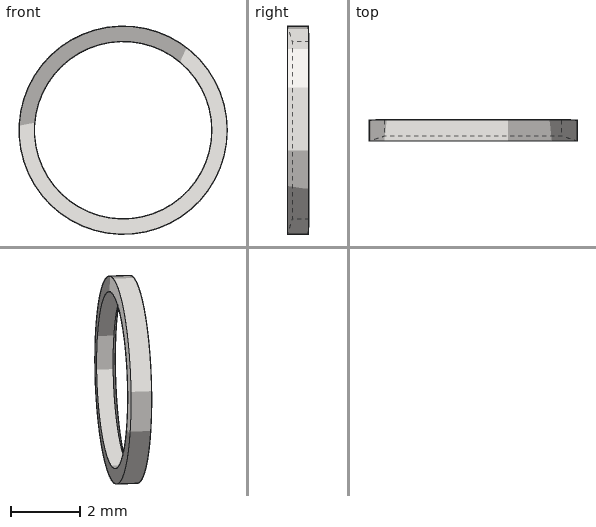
import cadquery as cq

outer_diameter = 6.0
bore_diameter = 5.1
overall_width = 0.63
front_cone_depth = 0.15
back_cone_rise = 0.025

outer_radius = outer_diameter / 2
bore_radius = bore_diameter / 2
front_y = -overall_width / 2
back_y = overall_width / 2

section = [
    (outer_radius, front_y),
    (outer_radius, back_y - back_cone_rise),
    (bore_radius, back_y),
    (bore_radius, front_y + front_cone_depth),
]

result = cq.Workplane("XY").polyline(section).close().revolve(360, (0, 0, 0), (0, 1, 0))